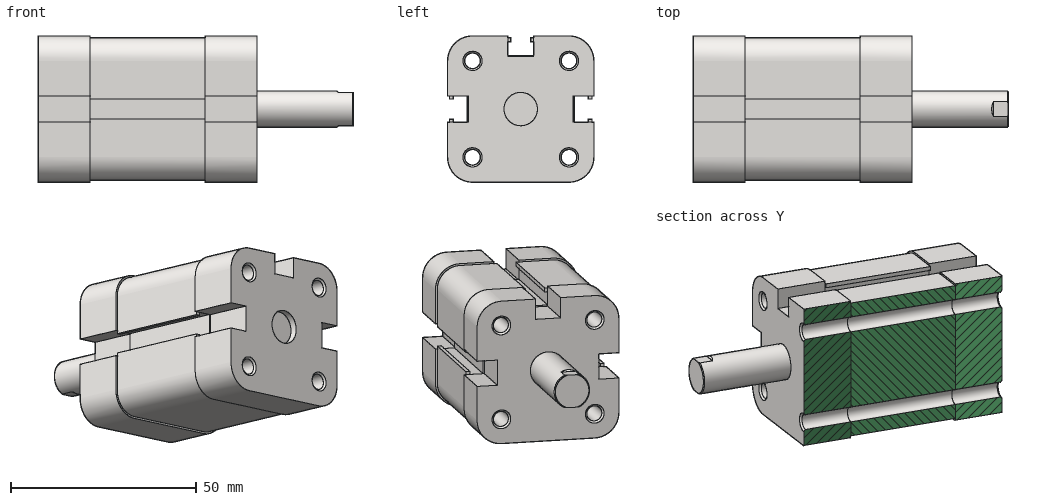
import cadquery as cq

TOTAL_LENGTH = 85.0
CAP_SIDE = 39.5
CAP_LENGTH = 14.0
BARREL_LENGTH = 31.0
BARREL_STEP = 0.5
CAP_CORNER_RADIUS = 6.8

SLOT_WIDTH = 7.0
CAP_SLOT_DEPTH = 5.6

LIP_GAP = 5.35
LIP_THICKNESS = 1.1
BARREL_SLOT_FLOOR_RISE = 0.3

SCREW_SPACING = 26.0
SCREW_HOLE_DIAMETER = 4.2
SCREW_HOLE_CHAMFER = 0.5

RECESS_DIAMETER = 9.0
RECESS_DEPTH = 2.0

ROD_DIAMETER = 9.9
ROD_END_CHAMFER = 0.25
FLAT_SPACING = 9.0
FLAT_LENGTH = 4.0
FLAT_RAMP_LENGTH = 0.5

BARREL_START = CAP_LENGTH
BARREL_END = BARREL_START + BARREL_LENGTH
BARREL_SIDE = CAP_SIDE - 2 * BARREL_STEP
BARREL_CORNER_RADIUS = CAP_CORNER_RADIUS - BARREL_STEP
CAP_SLOT_FLOOR = CAP_SIDE / 2 - CAP_SLOT_DEPTH
BARREL_SLOT_FLOOR = CAP_SLOT_FLOOR + BARREL_SLOT_FLOOR_RISE
LIP_UNDERSIDE = BARREL_SIDE / 2 - LIP_THICKNESS
SLOT_ANGLES = (-90, 0, 90)


def rounded_block(x_start, length, side, corner_radius):
    """Square block with rounded long edges, running along X."""
    block = cq.Workplane("YZ", origin=(x_start, 0, 0)).rect(side, side).extrude(length)
    return block.edges("|X").fillet(corner_radius)


def x_cylinder(x_start, length, diameter):
    """Cylinder on the X axis."""
    return cq.Workplane("YZ", origin=(x_start, 0, 0)).circle(diameter / 2).extrude(length)


def groove(x_start, length, width, z_bottom, z_top):
    """Straight groove cutter along X on the +Z side."""
    section = cq.Workplane("YZ", origin=(x_start, 0, 0)).center(0, (z_bottom + z_top) / 2)
    return section.rect(width, z_top - z_bottom).extrude(length)


def cut_on_slotted_sides(body, cutter):
    """Cut the +Z groove cutter into every slotted side."""
    for angle in SLOT_ANGLES:
        body = body.cut(cutter.rotate((0, 0, 0), (1, 0, 0), angle))
    return body


def cut_screw_holes(body, x_start, length):
    """Four through holes, parallel to X."""
    pattern = cq.Workplane("YZ", origin=(x_start, 0, 0))
    pattern = pattern.rect(SCREW_SPACING, SCREW_SPACING, forConstruction=True)
    return body.cut(pattern.vertices().circle(SCREW_HOLE_DIAMETER / 2).extrude(length))


def make_cap(x_start, outer_face):
    """Slotted end cap whose screw holes are chamfered at the outer face."""
    cap = rounded_block(x_start, CAP_LENGTH, CAP_SIDE, CAP_CORNER_RADIUS)
    slot = groove(x_start, CAP_LENGTH, SLOT_WIDTH, CAP_SLOT_FLOOR, CAP_SIDE / 2)
    cap = cut_on_slotted_sides(cap, slot)
    cap = cut_screw_holes(cap, x_start, CAP_LENGTH)
    hole_rims = cap.faces(outer_face).edges(cq.selectors.RadiusNthSelector(0))
    return hole_rims.chamfer(SCREW_HOLE_CHAMFER)


def make_rear_cap():
    """End cap with a shallow round recess in its outer face."""
    return make_cap(0, "<X").cut(x_cylinder(0, RECESS_DEPTH, RECESS_DIAMETER))


def make_front_cap():
    """End cap bored through for the piston rod."""
    return make_cap(BARREL_END, ">X").cut(x_cylinder(BARREL_END, CAP_LENGTH, ROD_DIAMETER))


def make_barrel():
    """Profile barrel between the caps, with slots half closed by lips."""
    barrel = rounded_block(BARREL_START, BARREL_LENGTH, BARREL_SIDE, BARREL_CORNER_RADIUS)
    mouth = groove(BARREL_START, BARREL_LENGTH, LIP_GAP, LIP_UNDERSIDE, BARREL_SIDE / 2)
    inner_slot = groove(BARREL_START, BARREL_LENGTH, SLOT_WIDTH, BARREL_SLOT_FLOOR, LIP_UNDERSIDE)
    barrel = cut_on_slotted_sides(barrel, mouth.union(inner_slot))
    return cut_screw_holes(barrel, BARREL_START, BARREL_LENGTH)


def make_rod():
    """Piston rod with a chamfered tip and two flats, facing +Z and -Z."""
    rod_length = TOTAL_LENGTH - BARREL_END
    rod = x_cylinder(BARREL_END, rod_length, ROD_DIAMETER).faces(">X").chamfer(ROD_END_CHAMFER)
    flat_start = TOTAL_LENGTH - FLAT_LENGTH
    flat_cutter = (
        cq.Workplane("XZ")
        .moveTo(flat_start - FLAT_RAMP_LENGTH, ROD_DIAMETER / 2)
        .lineTo(flat_start, FLAT_SPACING / 2)
        .lineTo(TOTAL_LENGTH, FLAT_SPACING / 2)
        .lineTo(TOTAL_LENGTH, ROD_DIAMETER / 2)
        .close()
        .extrude(ROD_DIAMETER / 2, both=True)
    )
    return rod.cut(flat_cutter).cut(flat_cutter.mirror("XY"))


rear_cap = make_rear_cap()
barrel = make_barrel()
front_cap = make_front_cap()
rod = make_rod()

result = cq.Compound.makeCompound([rear_cap.val(), barrel.val(), front_cap.val(), rod.val()])